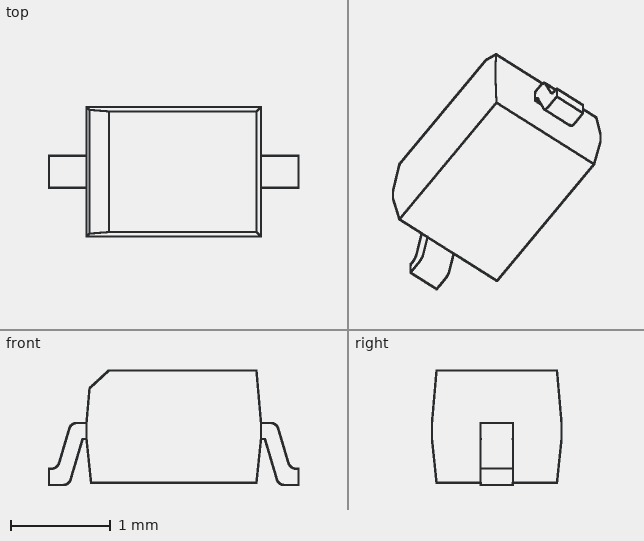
import cadquery as cq
import math

overall_length = 2.5
overall_height = 1.15

housing_length = 1.75
housing_width = 1.3
standoff = 0.022
upper_draft = 5.0
lower_draft = 6.0
chamfer_depth = 0.18
chamfer_run = 0.195

lead_width = 0.325
lead_thickness = 0.165
lead_top = 0.625
lead_slope = 16.5
knee_x = 1.03
inner_knee_x = 0.912
bend_radius = 0.082

band_bottom = lead_top - lead_thickness


def tapered_block(start_z, height, draft_angle):
    """Block on the band outline at start_z, tapering inward along a signed height."""
    block = (
        cq.Workplane("XY")
        .rect(housing_length, housing_width)
        .extrude(abs(height), taper=draft_angle)
    )
    if height < 0:
        block = block.mirror("XY")
    return block.translate((0, 0, start_z))


def corner_cutter():
    """Prism that removes the sloped top edge at the -X end."""
    edge_z = overall_height - chamfer_depth
    draft = math.tan(math.radians(upper_draft))
    edge_x = -housing_length / 2 + (edge_z - lead_top) * draft
    low = (edge_x - chamfer_run, edge_z - chamfer_depth)
    high = (edge_x + 2 * chamfer_run, edge_z + 2 * chamfer_depth)
    return (
        cq.Workplane("XZ")
        .polyline([low, high, (low[0], high[1])])
        .close()
        .extrude(housing_width / 2, both=True)
    )


def make_housing():
    band = (
        cq.Workplane("XY", origin=(0, 0, band_bottom))
        .rect(housing_length, housing_width)
        .extrude(lead_thickness)
    )
    upper = tapered_block(lead_top, overall_height - lead_top, upper_draft)
    lower = tapered_block(band_bottom, standoff - band_bottom, lower_draft)
    return band.union(upper).union(lower).cut(corner_cutter())


def make_lead(side):
    """Bent lead at the +X end (side = 1) or the -X end (side = -1)."""
    slope = math.radians(lead_slope)
    leg_run = band_bottom * math.tan(slope)
    outer_foot_x = knee_x + leg_run
    heel_x = inner_knee_x + leg_run
    tip_x = overall_length / 2
    root_x = housing_length / 2

    points = [
        (root_x, lead_top),
        (knee_x, lead_top),
        (outer_foot_x, lead_thickness),
        (tip_x, lead_thickness),
        (tip_x, 0),
        (heel_x, 0),
        (inner_knee_x, band_bottom),
        (root_x, band_bottom),
    ]
    lead = (
        cq.Workplane("XZ")
        .polyline([(side * x, z) for x, z in points])
        .close()
        .extrude(lead_width / 2, both=True)
    )
    for x, z in [(knee_x, lead_top), (outer_foot_x, lead_thickness), (heel_x, 0)]:
        bend = cq.selectors.NearestToPointSelector((side * x, 0, z))
        lead = lead.edges("|Y").edges(bend).fillet(bend_radius)
    return lead


housing = make_housing()
leads = [make_lead(side) for side in (-1, 1)]

result = cq.Compound.makeCompound([housing.val(), *[lead.val() for lead in leads]])